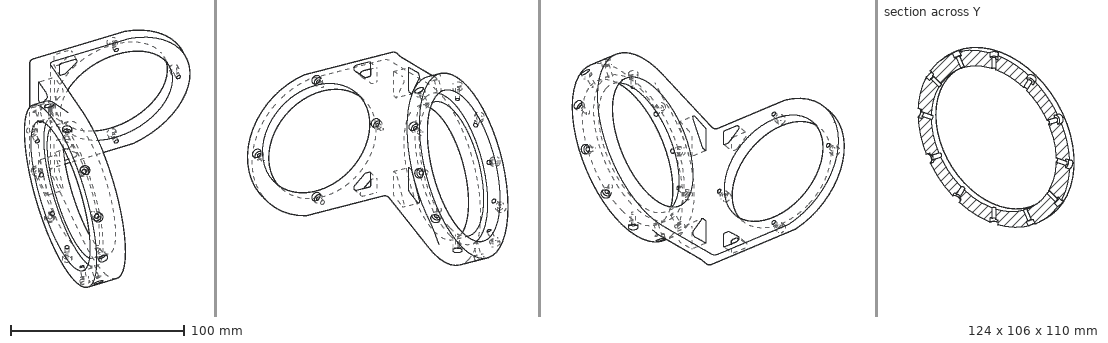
import cadquery as cq
import math

overall_x = 124.0
overall_y = 106.0

ring_diameter = 110.0
ring_depth = 18.0
bore_diameter = 80.0
counterbore_diameter = 90.0
counterbore_depth = 8.0

bracket_width = 90.0
upright_thickness = 7.9
web_front = 8.0
outer_fillet = 3.0
inner_fillet = 2.5

end_radius = 46.0
opening_diameter = 69.9
opening_drop = 0.2
upright_bolt_radius = 38.7

screw_diameter = 2.5
screw_head_diameter = 5.5
screw_head_depth = 3.0
ring_screw_count = 12
ring_screw_y = 4.1

web_window_corners = [(16.1, 25.0), (16.1, 40.9), (31.5, 43.9), (19.6, 25.0)]
web_window_corner_radius = 0.6
upright_window_corners = [(24.4, 31.6), (24.4, 41.4), (38.5, 41.4), (28.0, 31.6)]
upright_window_corner_radius = 1.0
window_tip_radius = 2.0

ring_radius = ring_diameter / 2
ring_x = overall_x - ring_radius
half_width = bracket_width / 2
opening_y = overall_y - end_radius
opening_z = -opening_drop
ring_screw_length = (ring_diameter - bore_diameter) / 2
upright_screw_offsets = [
    (upright_bolt_radius, 0),
    (-upright_bolt_radius, 0),
    (0, upright_bolt_radius),
    (0, -upright_bolt_radius),
]


def cylinder_y(diameter, y_start, y_end):
    """Cylinder on the ring axis between two Y positions."""
    return (
        cq.Workplane("XZ", origin=(ring_x, y_start, 0))
        .circle(diameter / 2)
        .extrude(y_start - y_end)
    )


def cylinder_along(start, direction, diameter, length):
    """Cylinder from a start point along a direction."""
    solid = cq.Solid.makeCylinder(diameter / 2, length, cq.Vector(*start), cq.Vector(*direction))
    return cq.Workplane(solid)


def make_upright():
    """Plate at x = 0 whose far end is an arc around the opening."""
    top_run = math.sqrt(end_radius**2 - (half_width - opening_z) ** 2)
    bottom_run = math.sqrt(end_radius**2 - (half_width + opening_z) ** 2)
    return (
        cq.Workplane("YZ")
        .moveTo(web_front, -half_width)
        .lineTo(opening_y + bottom_run, -half_width)
        .threePointArc((overall_y, opening_z), (opening_y + top_run, half_width))
        .lineTo(web_front, half_width)
        .close()
        .extrude(upright_thickness)
    )


def make_web():
    """Plate from the upright to the ring, its slanted sides tangent to the ring."""
    run = ring_x - upright_thickness
    distance = math.hypot(run, half_width)
    tangent_angle = math.pi - math.atan2(half_width, run) - math.acos(ring_radius / distance)
    tangent_x = ring_x + ring_radius * math.cos(tangent_angle)
    tangent_z = ring_radius * math.sin(tangent_angle)
    return (
        cq.Workplane("XZ", origin=(0, web_front, 0))
        .moveTo(0, -half_width)
        .lineTo(upright_thickness, -half_width)
        .lineTo(tangent_x, -tangent_z)
        .lineTo(tangent_x, tangent_z)
        .lineTo(upright_thickness, half_width)
        .lineTo(0, half_width)
        .close()
        .extrude(web_front - ring_depth)
    )


def make_bracket():
    """Upright and web joined, with the inside corner and the outside edges rounded."""
    bracket = make_upright().union(make_web())
    inner_corner = cq.selectors.NearestToPointSelector((upright_thickness, ring_depth, 0))
    bracket = bracket.edges(inner_corner).fillet(inner_fillet)
    front_and_outside = bracket.faces("<X or <Y").edges()
    return front_and_outside.edges("not >X").fillet(outer_fillet)


def cut_screw_hole(body, start, direction, length):
    """Through hole with a counterbore at its start."""
    body = body.cut(cylinder_along(start, direction, screw_diameter, length))
    return body.cut(cylinder_along(start, direction, screw_head_diameter, screw_head_depth))


def cut_window_pair(body, plane, origin, corners, corner_radius, depth):
    """Window with rounded corners and its mirror image on the other side of local X."""
    depth_axis, tip_axis = ("X", "Y") if plane == "YZ" else ("Y", "X")
    for side in (1, -1):
        window = (
            cq.Workplane(plane, origin=origin)
            .polyline([(along, side * height) for along, height in corners])
            .close()
            .extrude(depth)
        )
        window = window.edges(f"|{depth_axis} and (not >{tip_axis})").fillet(corner_radius)
        window = window.edges(f"|{depth_axis} and >{tip_axis}").fillet(window_tip_radius)
        body = body.cut(window)
    return body


body = make_bracket()
body = cut_window_pair(
    body, "XZ", (0, ring_depth, 0), web_window_corners, web_window_corner_radius, ring_depth
)
body = cut_window_pair(
    body,
    "YZ",
    (0, 0, opening_z),
    upright_window_corners,
    upright_window_corner_radius,
    upright_thickness,
)

body = body.union(cylinder_y(ring_diameter, 0, ring_depth))
body = body.cut(cylinder_y(bore_diameter, 0, ring_depth))
body = body.cut(cylinder_y(counterbore_diameter, 0, counterbore_depth))

opening_center = (0, opening_y, opening_z)
body = body.cut(cylinder_along(opening_center, (1, 0, 0), opening_diameter, upright_thickness))
for offset_y, offset_z in upright_screw_offsets:
    start = (0, opening_y + offset_y, opening_z + offset_z)
    body = cut_screw_hole(body, start, (1, 0, 0), upright_thickness)

for index in range(ring_screw_count):
    angle = 2 * math.pi * index / ring_screw_count
    out_x = math.cos(angle)
    out_z = math.sin(angle)
    start = (ring_x + ring_radius * out_x, ring_screw_y, ring_radius * out_z)
    body = cut_screw_hole(body, start, (-out_x, 0, -out_z), ring_screw_length)

result = body